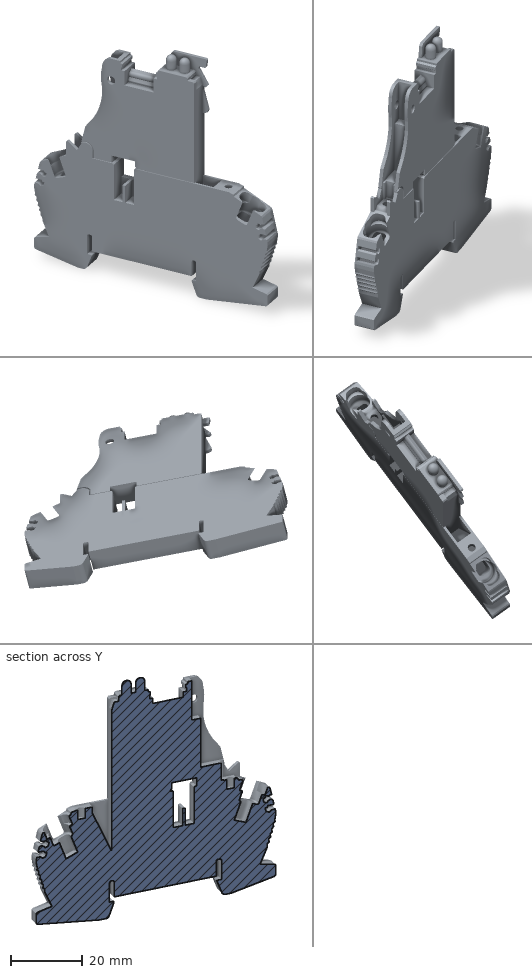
import cadquery as cq
import math

LENGTH = 74.5
THICKNESS = 6.1
HEIGHT = 73.15
HALF_LENGTH = LENGTH / 2
FRONT_Y = -THICKNESS / 2
BACK_Y = THICKNESS / 2

BASE_TOP = 35.8
BODY_BOTTOM = 6.25
FOOT_SIDE_BOTTOM = 2.9
FOOT_SIDE_TOP = 6.0
FOOT_CHAMFER = 0.4
ANKLE = (32.5, 7.4)
HIP = (34.6, 12.0)
BELLY_LOW = 21.75
BELLY_HIGH = 22.95
SHOULDER_LOW = (35.5, 30.25)
SHOULDER_HIGH = (35.25, 30.8)
TOOTH_COUNT = 5
TOOTH_PITCH = 1.5
TOOTH_STEP = 0.45
TOOTH_TOP = (36.95, 20.05)
TOOTH_LIP = 0.15
TOOTH_LIP_DROP = 0.4
TOOTH_DROP = 0.9
HOOK_Z = 5.1
RAIL_SLOT_TOP = 11.4
RAIL_SLOT_ROUNDING = 0.5
LEFT_SLOT = (-20.35, -18.8)
RIGHT_SLOT = (13.05, 14.4)

WINDOW_X = (-11.85, -5.45)
WINDOW_BOTTOM = 29.65
WINDOW_CHAMFER = 0.4
SOCKET_BOTTOM = 24.3
SOCKET_WIDTH = 2.75
SOCKET_DEPTH = 4.5

EAR_CENTER = (-20.9, 38.0)
EAR_RADIUS = 2.3
EAR_FOOT = (-27.05, 34.65)
EAR_GAP = 0.45
EAR_GAP_START_ANGLE = 120
SEAM_DEPTH = 0.4
SEAM_HEIGHT = 0.2

ENTRY_TILT = 21.0
ENTRY_X = 31.0
ENTRY_Z = 32.9
ENTRY_DEPTH = 6.1
ENTRY_RADIUS = 3.2
ENTRY_Y = -0.45
ENTRY_BACK_WALL = 0.2
ENTRY_FLOOR_FILLET = 0.45
FUNNEL_LENGTH = 8.35
FUNNEL_WIDTH = 4.8
FUNNEL_CORNER = 1.9
FUNNEL_DEPTH = 3.0
CLAMP_SIZE = 3.7
CLAMP_DEPTH = 11.9
CLAMP_CORNER = 1.05
CLAMP_SHIFT = 0.6
CUT_OVERSHOOT = 4.5

GROOVE_BACK_WALL = 0.45
UPPER_GROOVE = [(37.25, 26.75), (36.2, 26.75), (35.5, 27.0), (34.8, 26.6), (34.5, 26.15), (33.6, 26.4),
                (33.3, 27.5), (34.0, 27.7), (34.1, 28.2), (34.95, 27.95), (35.5, 28.2), (37.25, 28.2)]
LOWER_GROOVE = [(37.6, 23.7), (36.95, 23.7), (35.9, 23.55), (35.25, 23.0), (34.35, 23.3), (34.0, 24.4),
                (34.65, 24.4), (34.8, 25.0), (37.6, 25.0)]

TEST_HOLE_X = 23.2
TEST_HOLE_DIAMETER = 2.2
TEST_HOLE_DEPTH = 3.0
TOOL_POCKET_X = (13.8, 19.7)
TOOL_POCKET_WIDTH = 4.7
TOOL_POCKET_WALL = 2.1
TOOL_POCKET_DEPTH = 14.9

MODULE_TOP = 68.9
MODULE_RIGHT = 13.8
MODULE_BOTTOM = BASE_TOP + SEAM_HEIGHT
MODULE_NOTCH_X = (-12.6, -5.0)
MODULE_NOTCH_TOP = 38.2
MODULE_NOTCH_CHAMFER = 0.6
CHANNEL_HALF = 2.0
CHANNEL_END_X = -11.2
CHANNEL_STEP = (-13.9, 56.7)
CHANNEL_FLOOR = (-21.5, 41.4)
TAIL_SLOT_HALF = 1.4
TAIL_SLOT_X = -20.35
PIVOT = (-12.7, 62.05)
PIVOT_DIAMETER = 2.5
RECESS_X = (-8.4, 0.9)
RECESS_FLOOR = 61.5
GRIP_FLOOR = 66.0
LATCH_POCKET_Y = (-1.6, 2.1)
LATCH_POCKET_FLOOR = 67.2
LATCH_RAMP_DROP = 2.2

BAR_FRONT_Y = -0.8
BAR_BACK_Y = 1.2
BAR_FOOT_TOP = 62.05
BAR_NECK = (-0.2, 62.95)
BAR_ROUND_END = (0.5, 64.6)
BAR_TOP = 65.05

PIN_DIAMETER = 3.0
PIN_X = (4.9, 9.2)
LEVER_THICKNESS = 1.0
LEVER_LEFT = 3.3


def plate(outline, y_min, y_max):
    """Extrude an XZ outline between two Y positions."""
    return outline.extrude(y_max - y_min).translate((0, y_max, 0))


def polygon(points):
    return cq.Workplane("XZ").polyline(points).close()


def box(x_range, y_range, z_range):
    ranges = (x_range, y_range, z_range)
    sizes = [high - low for low, high in ranges]
    return cq.Workplane("XY").box(*sizes, centered=False).translate([low for low, high in ranges])


def mirrored_x(points):
    return [(-x, z) for x, z in points]


def end_profile():
    """Right end of the base from foot to shoulder, with its row of grip teeth."""
    foot_inner = HALF_LENGTH - FOOT_CHAMFER
    points = [(foot_inner, FOOT_SIDE_BOTTOM - FOOT_CHAMFER), (HALF_LENGTH, FOOT_SIDE_BOTTOM),
              (HALF_LENGTH, FOOT_SIDE_TOP), (foot_inner, FOOT_SIDE_TOP + FOOT_CHAMFER), ANKLE, HIP]
    for row in reversed(range(TOOTH_COUNT)):
        x = TOOTH_TOP[0] - row * TOOTH_STEP
        z = TOOTH_TOP[1] - row * TOOTH_PITCH
        points += [(x - TOOTH_STEP, z - TOOTH_DROP), (x + TOOTH_LIP, z - TOOTH_LIP_DROP), (x, z)]
    points += [(HALF_LENGTH, BELLY_LOW), (HALF_LENGTH, BELLY_HIGH), SHOULDER_LOW, SHOULDER_HIGH]
    return points


def base_housing():
    right_end = end_profile()
    left_end = mirrored_x(right_end)
    outline = (
        cq.Workplane("XZ")
        .moveTo(17.8, 0)
        .polyline(right_end + [(26.5, 34.8), (26.4, 35.4), (24.8, BASE_TOP)], includeCurrent=True)
        .lineTo(EAR_CENTER[0] + EAR_RADIUS, BASE_TOP)
        .lineTo(EAR_CENTER[0] + EAR_RADIUS, EAR_CENTER[1])
        .threePointArc((EAR_CENTER[0], EAR_CENTER[1] + EAR_RADIUS), (-22.1, 39.8))
        .polyline([(-23.6, 37.25), (-26.6, 39.4), (EAR_FOOT[0], 39.1), EAR_FOOT], includeCurrent=True)
        .polyline(left_end[::-1], includeCurrent=True)
        .lineTo(-23.3, 0)
        .lineTo(-22.05, 0)
        .threePointArc((-21.0, 0.2), (-20.4, 0.8))
        .polyline([(-18.85, 4.85), (-19.0, HOOK_Z), (LEFT_SLOT[0], HOOK_Z), (LEFT_SLOT[0], BODY_BOTTOM)],
                  includeCurrent=True)
        .lineTo(RIGHT_SLOT[1], BODY_BOTTOM)
        .lineTo(RIGHT_SLOT[1], HOOK_Z)
        .polyline([(13.2, HOOK_Z), (13.0, 4.7), (14.5, 0.7)], includeCurrent=True)
        .threePointArc((14.9, 0.2), (15.8, 0))
        .close()
    )
    return plate(outline, FRONT_Y, BACK_Y)


def rail_slot(x_range):
    """Rounded slot that lets a rail foot flex."""
    slot = box(x_range, (FRONT_Y, BACK_Y), (BODY_BOTTOM, RAIL_SLOT_TOP))
    return slot.edges("|Y and >Z").fillet(RAIL_SLOT_ROUNDING)


def window():
    opening = box(WINDOW_X, (FRONT_Y, BACK_Y), (WINDOW_BOTTOM, BASE_TOP))
    flare = polygon([
        (WINDOW_X[0] - WINDOW_CHAMFER, BASE_TOP),
        (WINDOW_X[0], BASE_TOP - WINDOW_CHAMFER),
        (WINDOW_X[1], BASE_TOP - WINDOW_CHAMFER),
        (WINDOW_X[1] + WINDOW_CHAMFER, BASE_TOP),
    ])
    cut = opening.union(plate(flare, FRONT_Y, BACK_Y))
    for left in (WINDOW_X[0], WINDOW_X[1] - SOCKET_WIDTH):
        cut = cut.union(box((left, left + SOCKET_WIDTH), (FRONT_Y, FRONT_Y + SOCKET_DEPTH),
                            (SOCKET_BOTTOM, WINDOW_BOTTOM)))
    return cut


def wire_entry():
    """Tilted funnel, bore and clamp opening of the right shoulder, as a solid to cut."""
    bore = (
        cq.Workplane("XY", origin=(0, ENTRY_Y, -ENTRY_DEPTH))
        .circle(ENTRY_RADIUS)
        .extrude(ENTRY_DEPTH + CUT_OVERSHOOT)
        .faces("<Z").edges().fillet(ENTRY_FLOOR_FILLET)
    )
    reach = (-HALF_LENGTH, HALF_LENGTH)
    in_front_of_wall = box(reach, (-THICKNESS, BACK_Y - ENTRY_BACK_WALL), reach)
    funnel = (
        cq.Workplane("XY", origin=(0, 0, -FUNNEL_DEPTH))
        .rect(FUNNEL_LENGTH, FUNNEL_WIDTH)
        .extrude(FUNNEL_DEPTH + CUT_OVERSHOOT)
        .edges("|Z").fillet(FUNNEL_CORNER)
    )
    clamp = (
        cq.Workplane("XY", origin=(-CLAMP_SHIFT, 0, -CLAMP_DEPTH))
        .rect(CLAMP_SIZE, CLAMP_SIZE)
        .extrude(CLAMP_DEPTH)
        .edges("|Z").fillet(CLAMP_CORNER)
    )
    cut = bore.intersect(in_front_of_wall).union(funnel).union(clamp)
    return cut.rotate((0, 0, 0), (0, 1, 0), ENTRY_TILT).translate((ENTRY_X, 0, ENTRY_Z))


def label_grooves():
    cut = plate(polygon(UPPER_GROOVE), FRONT_Y, BACK_Y - GROOVE_BACK_WALL)
    return cut.union(plate(polygon(LOWER_GROOVE), FRONT_Y, BACK_Y - GROOVE_BACK_WALL))


def tool_pocket():
    """Wedge-shaped pocket whose floor falls steeply toward the module."""
    left, right = TOOL_POCKET_X
    wedge = polygon([(left, BASE_TOP), (right, BASE_TOP), (right, BASE_TOP - TOOL_POCKET_WALL),
                     (left, BASE_TOP - TOOL_POCKET_DEPTH)])
    return plate(wedge, -TOOL_POCKET_WIDTH / 2, TOOL_POCKET_WIDTH / 2)


def test_hole():
    return (
        cq.Workplane("XY", origin=(TEST_HOLE_X, 0, BASE_TOP - TEST_HOLE_DEPTH))
        .circle(TEST_HOLE_DIAMETER / 2)
        .extrude(TEST_HOLE_DEPTH)
    )


def module_body():
    notch_left, notch_right = MODULE_NOTCH_X
    outline = (
        cq.Workplane("XZ")
        .moveTo(EAR_CENTER[0], BASE_TOP)
        .lineTo(-22.3, 39.9)
        .lineTo(-20.9, 45.45)
        .lineTo(-20.05, 46.6)
        .lineTo(-18.5, 48.65)
        .threePointArc((-16.6, 52.3), (-15.65, 56.4))
        .lineTo(-15.65, 59.45)
        .threePointArc((-15.95, 62.65), (-15.6, 65.8))
        .threePointArc((-14.9, 67.8), (-13.1, MODULE_TOP))
        .polyline([(-9.75, MODULE_TOP), (-9.75, 68.3), (-9.2, 68.0), (-9.2, 67.1), (-9.45, 66.9),
                   (-9.45, GRIP_FLOOR), (RECESS_X[0], GRIP_FLOOR), (RECESS_X[0], RECESS_FLOOR),
                   (RECESS_X[1], RECESS_FLOOR), (RECESS_X[1], GRIP_FLOOR), (1.9, GRIP_FLOOR),
                   (1.9, 66.9), (1.65, 67.1), (1.65, 68.0), (2.3, 68.3), (2.3, MODULE_TOP)],
                  includeCurrent=True)
        .polyline([(11.25, MODULE_TOP), (11.6, 68.55), (11.6, 67.9), (13.4, 67.9), (MODULE_RIGHT, 67.5),
                   (MODULE_RIGHT, BASE_TOP)], includeCurrent=True)
        .polyline([(notch_right + MODULE_NOTCH_CHAMFER, BASE_TOP),
                   (notch_right, BASE_TOP + MODULE_NOTCH_CHAMFER), (notch_right, MODULE_NOTCH_TOP),
                   (notch_left, MODULE_NOTCH_TOP), (notch_left, BASE_TOP)], includeCurrent=True)
        .close()
    )
    return plate(outline, FRONT_Y, BACK_Y)


def latch_pocket():
    """Pocket in the top right corner of the module, ramped down to its right side."""
    outline = polygon([(11.7, MODULE_TOP), (11.7, LATCH_POCKET_FLOOR), (13.05, LATCH_POCKET_FLOOR),
                       (MODULE_RIGHT, LATCH_POCKET_FLOOR - LATCH_RAMP_DROP), (MODULE_RIGHT, MODULE_TOP)])
    return plate(outline, *LATCH_POCKET_Y)


def module_channel():
    """Stepped channel that opens the left side of the module between two cheeks."""
    step_x, step_z = CHANNEL_STEP
    floor_x, floor_z = CHANNEL_FLOOR
    outside = -HALF_LENGTH
    channel = polygon([(outside, HEIGHT), (CHANNEL_END_X, HEIGHT), (CHANNEL_END_X, step_z), (step_x, step_z),
                       (step_x, floor_z), (floor_x, floor_z), (floor_x, MODULE_BOTTOM),
                       (outside, MODULE_BOTTOM)])
    tail_slot = box((outside, TAIL_SLOT_X), (-TAIL_SLOT_HALF, TAIL_SLOT_HALF), (MODULE_BOTTOM, floor_z))
    return plate(channel, -CHANNEL_HALF, CHANNEL_HALF).union(tail_slot)


def ear_channel():
    """Opening between the ears, whose floor climbs in ramps to the top of the base."""
    outline = polygon([EAR_FOOT, (-26.4, 34.95), (-25.8, 34.95), (-25.0, BASE_TOP), (TAIL_SLOT_X, BASE_TOP),
                       (TAIL_SLOT_X, MODULE_BOTTOM), (CHANNEL_FLOOR[0], MODULE_BOTTOM),
                       (CHANNEL_FLOOR[0], HEIGHT), (EAR_FOOT[0], HEIGHT)])
    return plate(outline, -CHANNEL_HALF, CHANNEL_HALF)


def seam():
    """Shallow groove on the front where the module meets the base and its ear."""
    ear_x, ear_z = EAR_CENTER
    outer = EAR_RADIUS + EAR_GAP
    start = math.radians(EAR_GAP_START_ANGLE)
    cosine, sine = math.cos(start), math.sin(start)
    diagonal = math.sqrt(0.5)
    outline = (
        cq.Workplane("XZ")
        .moveTo(ear_x + EAR_RADIUS * cosine, ear_z + EAR_RADIUS * sine)
        .threePointArc((ear_x + EAR_RADIUS * diagonal, ear_z + EAR_RADIUS * diagonal),
                       (ear_x + EAR_RADIUS, ear_z))
        .lineTo(ear_x + EAR_RADIUS, BASE_TOP)
        .lineTo(MODULE_RIGHT, BASE_TOP)
        .lineTo(MODULE_RIGHT, MODULE_BOTTOM)
        .lineTo(ear_x + outer, MODULE_BOTTOM)
        .lineTo(ear_x + outer, ear_z)
        .threePointArc((ear_x + outer * diagonal, ear_z + outer * diagonal),
                       (ear_x + outer * cosine, ear_z + outer * sine))
        .close()
    )
    return plate(outline, FRONT_Y, FRONT_Y + SEAM_DEPTH)


def recess_bar():
    """Bar with a stepped foot and a rounded shoulder, spanning the recess."""
    profile = (
        cq.Workplane("YZ", origin=(RECESS_X[0], 0, 0))
        .moveTo(BAR_BACK_Y, RECESS_FLOOR)
        .lineTo(BAR_FRONT_Y, RECESS_FLOOR)
        .lineTo(BAR_FRONT_Y, BAR_FOOT_TOP)
        .lineTo(*BAR_NECK)
        .threePointArc((-0.3, 63.9), BAR_ROUND_END)
        .lineTo(BAR_BACK_Y, BAR_TOP)
        .close()
    )
    return profile.extrude(RECESS_X[1] - RECESS_X[0])


def indicator_pin(x):
    radius = PIN_DIAMETER / 2
    shank_top = HEIGHT - radius
    pin = cq.Workplane("XY", origin=(x, 0, GRIP_FLOOR)).circle(radius).extrude(shank_top - GRIP_FLOOR)
    return pin.union(cq.Workplane("XY", origin=(x, 0, shank_top)).sphere(radius))


def lever():
    """Thin plate on the back with a thumb tab on top and two catches at the right."""
    outline = polygon([(LEVER_LEFT, GRIP_FLOOR), (LEVER_LEFT, MODULE_TOP), (3.7, 72.4), (4.3, HEIGHT),
                       (14.75, HEIGHT), (15.05, 72.85), (14.75, 70.55), (14.5, 70.3), (12.7, 70.3), (12.4, 70.0),
                       (12.45, 69.5), (15.35, 64.9), (14.7, 64.2), (13.6, 64.6), (13.6, 63.7), (15.5, 57.15),
                       (15.2, 56.4), (14.4, 55.95), (12.7, 55.95), (11.2, GRIP_FLOOR)])
    return plate(outline, BACK_Y - LEVER_THICKNESS, BACK_Y)


base = base_housing().cut(window()).cut(tool_pocket()).cut(ear_channel())
for slot_range in (LEFT_SLOT, RIGHT_SLOT):
    base = base.cut(rail_slot(slot_range))
for end_cut in (wire_entry(), label_grooves(), test_hole()):
    base = base.cut(end_cut).cut(end_cut.mirror("YZ"))

pivot_hole = cq.Workplane("XZ").center(*PIVOT).circle(PIVOT_DIAMETER / 2)
module = module_body().cut(plate(pivot_hole, FRONT_Y, BACK_Y)).cut(latch_pocket())

result = base.union(module).cut(module_channel()).cut(seam()).union(recess_bar()).union(lever())
for pin_x in PIN_X:
    result = result.union(indicator_pin(pin_x))